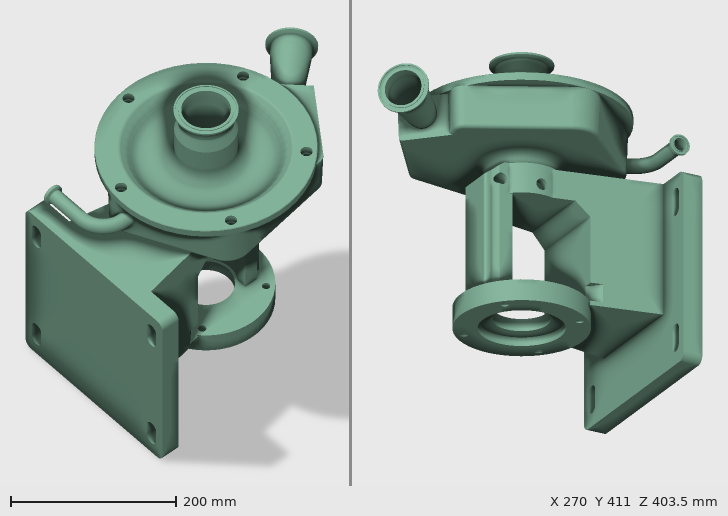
import cadquery as cq
import math


PLATE_SIDE = 250.5
PLATE_THICK = 26.0
PLATE_BACK_Y = -180.5
PLATE_CORNER_R = 10.0
SLOT_LENGTH = 36.0
SLOT_WIDTH = 16.5
SLOT_X = 105.2
SLOT_EDGE_DIST = 35.5

WEB_TOP_Z = PLATE_SIDE
WEB_BOTTOM_Z = 77.5
WEB_INNER_Y = -63.5
WEB_CHAMFER = 19.0
WEB_HALF_WIDTH = 75.0
WEB_TAPER = 10.7
NOTCH_HEIGHT = 24.0
NOTCH_CLEARANCE = 13.0

HUB_R = 51.0
HUB_TOP_Z = 252.5
HUB_BOTTOM_Z = 213.0
SIDE_HOLE_R = 7.5
HUB_HOLE_Z = 226.5
HUB_HOLE_DEPTH = 12.5
COLUMN_OUTER_R = 61.5
COLUMN_INNER_R = 38.5
COLUMN_HALF_WIDTH = 35.8
COLUMN_INNER_Y = 32.0
COLUMN_HOLE_Y = 47.3
COLUMN_HOLE_Z = 230.0
PAD_HALF_WIDTH = 26.0
PAD_OUTER_Y = 65.0
PAD_EDGE_R = 4.0
COLUMN_CUT_Y = 43.0
COLUMN_CUT_DROP = 15.2
DISC_R = 84.0
DISC_TOP_Z = 83.5
DISC_THICK = 27.5
DISC_BORE_R = 35.0
DISC_REGISTER_R = 53.5
DISC_REGISTER_DEPTH = 11.5
DISC_BOLT_CIRCLE_R = 72.8
DISC_BOLT_ANGLES = (45, 135, 225, 315)
DISC_BOLT_HOLE_R = 5.0

CASING_TOP_Z = 324.7
CASING_BOTTOM_Z = 270.5
CASING_APOTHEM = 115.5
CASING_DRAFT = 2.0
CASING_CORNER_R = 35.0
CASING_SMALL_CORNER_R = 15.5
CASING_EDGE_R = 4.5
FIRST_CORNER_ANGLE = 45
CORNER_COUNT = 5
NECK_R = 47.0
NECK_FILLET_R = 9.5

COVER_DIAMETER = 270.0
COVER_THICK = 10.3
COVER_TOP_Z = CASING_TOP_Z + COVER_THICK
COVER_CHAMFER = 1.0
RECESS_TOP_R = 107.3
RECESS_FLOOR_R = 84.0
RECESS_DEPTH = 14.5
RECESS_FLOOR_Z = COVER_TOP_Z - RECESS_DEPTH
RECESS_LIP = 3.5
RECESS_WALL = 10.0
SCREW_CIRCLE_R = 121.5
SCREW_HEAD_R = 7.5
SCREW_HOLE_R = 5.5
SCREW_HOLE_DEPTH = 18.5
DRILL_POINT_ANGLE = 118

INLET_TOP_Z = 403.5
INLET_R = 38.5
INLET_FILLET_R = 15.0
INLET_SHOULDER_Z = 368.7
INLET_NECK_Z = 384.5
INLET_NECK_R = 32.5
INLET_BORE_R = 30.0
INLET_FERRULE_R = 39.5

OUTLET_ANGLE = 135
OUTLET_OFFSET = 91.3
OUTLET_FACE = 114.5
OUTLET_CORNER_OFFSET = 123.5
BLOCK_ROOT_OFFSET = 49.5
OUTLET_CONE_TOP = 179.5
OUTLET_CONE_BASE = 118.5
OUTLET_R = 25.5
OUTLET_SMALL_R = 19.0
OUTLET_NECK_R = 17.5
OUTLET_FERRULE_R = 32.0
OUTLET_WALL = 2.5
OUTLET_BORE_END = 82.2
NOZZLE_Z = 300.5

DRAIN_R = 9.5
DRAIN_BORE_R = 8.2
DRAIN_BEND_R = 35.0
DRAIN_Y = -169.8
DRAIN_TIP_X = -89.0
DRAIN_FERRULE_R = 13.0
DRAIN_START_Y = -123.5
DRAIN_RIM = 3.5
DRAIN_FERRULE_THICK = 5.5
DRAIN_GROOVE_WIDTH = 1.5

OVERALL_LENGTH = 411.0
OUTLET_RIM_Y = OVERALL_LENGTH + DRAIN_Y - DRAIN_FERRULE_R
OUTLET_TIP = OUTLET_RIM_Y / math.sin(math.radians(OUTLET_ANGLE)) - OUTLET_OFFSET - OUTLET_FERRULE_R

FERRULE_RIM = 2.5
FERRULE_THICK = 5.5
GROOVE_WIDTH = 3.5
GROOVE_DEPTH = 1.2
GROOVE_INSET = 2.0


def polar(radius, degrees):
    """Point at a radius and angle in the XY plane."""
    angle = math.radians(degrees)
    return (radius * math.cos(angle), radius * math.sin(angle))


def cylinder(radius, bottom, top):
    return cq.Workplane("XY").workplane(offset=bottom).circle(radius).extrude(top - bottom)


def revolve_profile(points):
    """Revolve a closed (radius, height) outline about Z."""
    return cq.Workplane("XZ").polyline(points).close().revolve(360, (0, 0, 0), (0, 1, 0))


def rounded_outline(corners):
    """Closed XY outline from (point, radius) corners; a zero radius stays sharp."""
    stops = []
    for i, (corner, radius) in enumerate(corners):
        here = cq.Vector(*corner)
        if radius == 0:
            stops.append((here, here, here))
            continue
        to_last = (cq.Vector(*corners[i - 1][0]) - here).normalized()
        to_next = (cq.Vector(*corners[(i + 1) % len(corners)][0]) - here).normalized()
        half_angle = to_last.getAngle(to_next) / 2
        tangent = radius / math.tan(half_angle)
        middle = radius / math.sin(half_angle) - radius
        bisector = (to_last + to_next).normalized()
        stops.append((here + to_last * tangent, here + bisector * middle, here + to_next * tangent))

    outline = cq.Workplane("XY").moveTo(*stops[0][2].toTuple()[:2])
    for start, mid, end in stops[1:] + stops[:1]:
        outline = outline.lineTo(start.x, start.y)
        if start != end:
            outline = outline.threePointArc((mid.x, mid.y), (end.x, end.y))
    return outline.close()


def ferrule_groove(rim_radius, tip, width=GROOVE_WIDTH):
    """Gasket groove ring below the end face of a ferrule on the Z axis."""
    outer = rim_radius - GROOVE_INSET
    ring = cylinder(outer, tip - GROOVE_DEPTH, tip)
    return ring.cut(cylinder(outer - width, tip - GROOVE_DEPTH, tip))


def to_outlet(shape):
    """Turn a shape built along +Z onto the outlet axis."""
    offset_x, offset_y = polar(OUTLET_OFFSET, OUTLET_ANGLE - 90)
    shape = shape.rotate((0, 0, 0), (0, 1, 0), 90).rotate((0, 0, 0), (0, 0, 1), OUTLET_ANGLE)
    return shape.translate((offset_x, offset_y, NOZZLE_Z))


def mounting_plate():
    plate = (
        cq.Workplane("XY")
        .box(PLATE_SIDE, PLATE_THICK, PLATE_SIDE, centered=(True, False, False))
        .translate((0, PLATE_BACK_Y, 0))
        .edges("|Y")
        .fillet(PLATE_CORNER_R)
    )
    slot_height = PLATE_SIDE / 2 - SLOT_EDGE_DIST
    slots = (
        cq.Workplane("XZ", origin=(0, PLATE_BACK_Y, PLATE_SIDE / 2))
        .rect(2 * SLOT_X, 2 * slot_height, forConstruction=True)
        .vertices()
        .slot2D(SLOT_LENGTH, SLOT_WIDTH, 90)
        .extrude(-PLATE_THICK)
    )
    return plate.cut(slots)


def bracket_web():
    plate_y = PLATE_BACK_Y + PLATE_THICK
    side = (
        cq.Workplane("YZ")
        .moveTo(plate_y, WEB_TOP_Z)
        .lineTo(0, WEB_TOP_Z)
        .lineTo(0, HUB_BOTTOM_Z)
        .lineTo(WEB_INNER_Y + WEB_CHAMFER, HUB_BOTTOM_Z)
        .lineTo(WEB_INNER_Y, HUB_BOTTOM_Z - WEB_CHAMFER)
        .lineTo(WEB_INNER_Y, WEB_BOTTOM_Z)
        .lineTo(plate_y, WEB_BOTTOM_Z)
        .close()
        .extrude(WEB_HALF_WIDTH, both=True)
    )
    narrow_half = WEB_HALF_WIDTH + plate_y * math.tan(math.radians(WEB_TAPER))
    plan = (
        cq.Workplane("XY")
        .polyline([
            (-WEB_HALF_WIDTH, plate_y),
            (WEB_HALF_WIDTH, plate_y),
            (narrow_half, 0),
            (-narrow_half, 0),
        ])
        .close()
        .extrude(WEB_TOP_Z)
    )
    web = side.intersect(plan)
    for angle in DISC_BOLT_ANGLES[2:]:
        notch = (
            cq.Workplane("XY", origin=(0, 0, NOTCH_HEIGHT / 2))
            .box(2 * DISC_BOLT_CIRCLE_R, 2 * NOTCH_CLEARANCE, NOTCH_HEIGHT)
            .rotate((0, 0, 0), (0, 0, 1), angle)
            .translate((*polar(DISC_BOLT_CIRCLE_R, angle), DISC_TOP_Z))
        )
        web = web.cut(notch)
    return web


def column():
    """Upright with a concave inner face and a filleted outer pad."""
    height = HUB_TOP_Z - DISC_TOP_Z
    base = cq.Workplane("XY").workplane(offset=DISC_TOP_Z)
    body_depth = COLUMN_OUTER_R - COLUMN_INNER_Y
    window = (
        base.center(0, COLUMN_INNER_Y + body_depth / 2)
        .rect(2 * COLUMN_HALF_WIDTH, body_depth)
        .extrude(height)
    )
    body = base.circle(COLUMN_OUTER_R).extrude(height).intersect(window)
    pad_depth = PAD_OUTER_Y - COLUMN_INNER_Y
    pad = (
        base.center(0, COLUMN_INNER_Y + pad_depth / 2)
        .rect(2 * PAD_HALF_WIDTH, pad_depth)
        .extrude(height)
        .edges("|Z and >Y")
        .fillet(PAD_EDGE_R)
    )
    return body.union(pad).cut(cylinder(COLUMN_INNER_R, DISC_TOP_Z, HUB_BOTTOM_Z))


def column_slope():
    """Wedge removed from the outer top edge of the column and hub."""
    return (
        cq.Workplane("YZ")
        .polyline([
            (COLUMN_CUT_Y, HUB_TOP_Z),
            (PAD_OUTER_Y, HUB_TOP_Z),
            (PAD_OUTER_Y, HUB_TOP_Z - COLUMN_CUT_DROP),
        ])
        .close()
        .extrude(COLUMN_HALF_WIDTH, both=True)
    )


def lower_disc():
    bottom = DISC_TOP_Z - DISC_THICK
    disc = cylinder(DISC_R, bottom, DISC_TOP_Z).cut(cylinder(DISC_BORE_R, bottom, DISC_TOP_Z))
    register = cylinder(DISC_REGISTER_R, bottom, bottom + DISC_REGISTER_DEPTH)
    disc = disc.cut(register)
    for angle in DISC_BOLT_ANGLES:
        hole = cylinder(DISC_BOLT_HOLE_R, bottom, DISC_TOP_Z)
        disc = disc.cut(hole.translate(polar(DISC_BOLT_CIRCLE_R, angle) + (0,)))
    return disc


def foot_bracket():
    frame = cylinder(HUB_R, HUB_BOTTOM_Z, HUB_TOP_Z).union(column()).cut(column_slope())
    frame = frame.union(bracket_web()).union(mounting_plate()).union(lower_disc())
    column_hole = (
        cq.Workplane("YZ")
        .center(COLUMN_HOLE_Y, COLUMN_HOLE_Z)
        .circle(SIDE_HOLE_R)
        .extrude(HUB_R, both=True)
    )
    hub_hole = (
        cq.Workplane("YZ", origin=(-HUB_R, 0, HUB_HOLE_Z))
        .circle(SIDE_HOLE_R)
        .extrude(HUB_HOLE_DEPTH)
    )
    return frame.cut(column_hole).cut(hub_hole)


def drafted_prism(corners):
    """Rounded outline drafted inwards from the cover down to the casing bottom."""
    height = CASING_TOP_Z - CASING_BOTTOM_Z
    prism = rounded_outline(corners).extrude(-height, taper=CASING_DRAFT)
    return prism.translate((0, 0, CASING_TOP_Z))


def casing():
    """Rounded pentagon with a wedge-shaped outlet block along one corner."""
    step = 360 / CORNER_COUNT
    vertex_r = CASING_APOTHEM / math.cos(math.pi / CORNER_COUNT)
    pentagon = [polar(vertex_r, FIRST_CORNER_ANGLE + step * i) for i in range(CORNER_COUNT)]
    radii = [CASING_SMALL_CORNER_R] * 2 + [CASING_CORNER_R] * (CORNER_COUNT - 2)
    body = drafted_prism(list(zip(pentagon, radii))).faces("<Z").edges().fillet(CASING_EDGE_R)

    ahead = cq.Vector(*polar(1, OUTLET_ANGLE))
    aside = cq.Vector(*polar(1, OUTLET_ANGLE - 90))
    block_tip = ahead * OUTLET_FACE + aside * OUTLET_CORNER_OFFSET
    block_root = ahead * OUTLET_FACE + aside * BLOCK_ROOT_OFFSET
    side_middle = (cq.Vector(*pentagon[0]) + cq.Vector(*pentagon[-1])) / 2
    block = drafted_prism([
        (pentagon[0], CASING_SMALL_CORNER_R),
        ((block_tip.x, block_tip.y), 0),
        ((block_root.x, block_root.y), 0),
        ((side_middle.x, side_middle.y), 0),
    ])
    outlet_side = OUTLET_FACE - CASING_EDGE_R
    rounded = block.faces("<Z").edges().filter(lambda edge: edge.Center().dot(ahead) < outlet_side)
    return body.union(rounded.fillet(CASING_EDGE_R))


def neck():
    flare_r = NECK_R + NECK_FILLET_R
    flare_z = CASING_BOTTOM_Z - NECK_FILLET_R
    diagonal = NECK_FILLET_R * math.sqrt(0.5)
    return (
        cq.Workplane("XZ")
        .moveTo(0, HUB_TOP_Z)
        .lineTo(NECK_R, HUB_TOP_Z)
        .lineTo(NECK_R, flare_z)
        .threePointArc((flare_r - diagonal, flare_z + diagonal), (flare_r, CASING_BOTTOM_Z))
        .lineTo(0, CASING_BOTTOM_Z)
        .close()
        .revolve(360, (0, 0, 0), (0, 1, 0))
    )


def cover():
    return cylinder(COVER_DIAMETER / 2, CASING_TOP_Z, COVER_TOP_Z).faces(">Z").edges().chamfer(COVER_CHAMFER)


def recess():
    """Dished recess: rounded lip, conical wall, rounded foot and flat floor."""
    foot = RECESS_TOP_R - RECESS_LIP - RECESS_WALL - RECESS_FLOOR_R
    low, high = 0.1, 1.5
    for _ in range(50):
        slope = (low + high) / 2
        fall = (RECESS_LIP + foot) * math.tan(slope / 2) + RECESS_WALL * math.tan(slope)
        low, high = (slope, high) if fall < RECESS_DEPTH else (low, slope)
    lip_fall = RECESS_LIP * math.tan(slope / 2)
    foot_rise = foot * math.tan(slope / 2)
    wall_top = (RECESS_TOP_R - RECESS_LIP, COVER_TOP_Z - lip_fall)
    wall_foot = (RECESS_FLOOR_R + foot, RECESS_FLOOR_Z + foot_rise)
    lip_r = RECESS_LIP / math.sin(slope)
    foot_r = foot / math.sin(slope)
    sine, drop = math.sin(slope / 2), 1 - math.cos(slope / 2)
    return (
        cq.Workplane("XZ")
        .moveTo(0, COVER_TOP_Z)
        .lineTo(RECESS_TOP_R, COVER_TOP_Z)
        .threePointArc((RECESS_TOP_R - lip_r * sine, COVER_TOP_Z - lip_r * drop), wall_top)
        .lineTo(*wall_foot)
        .threePointArc((RECESS_FLOOR_R + foot_r * sine, RECESS_FLOOR_Z + foot_r * drop),
                       (RECESS_FLOOR_R, RECESS_FLOOR_Z))
        .lineTo(0, RECESS_FLOOR_Z)
        .close()
        .revolve(360, (0, 0, 0), (0, 1, 0))
    )


def screw_holes():
    tip = SCREW_HOLE_R / math.tan(math.radians(DRILL_POINT_ANGLE / 2))
    hole = revolve_profile([
        (0, 0),
        (SCREW_HEAD_R, 0),
        (SCREW_HEAD_R, -COVER_THICK),
        (SCREW_HOLE_R, -COVER_THICK),
        (SCREW_HOLE_R, -SCREW_HOLE_DEPTH),
        (0, -SCREW_HOLE_DEPTH - tip),
    ])
    holes = cq.Workplane("XY")
    for i in range(CORNER_COUNT):
        place = polar(SCREW_CIRCLE_R, FIRST_CORNER_ANGLE + 360 / CORNER_COUNT * i)
        holes = holes.add(hole.translate((*place, COVER_TOP_Z)))
    return holes.combine()


def inlet():
    diagonal = INLET_FILLET_R * math.sqrt(0.5)
    flare_r = INLET_R + INLET_FILLET_R
    flare_z = RECESS_FLOOR_Z + INLET_FILLET_R
    body = (
        cq.Workplane("XZ")
        .moveTo(0, RECESS_FLOOR_Z)
        .lineTo(flare_r, RECESS_FLOOR_Z)
        .threePointArc((flare_r - diagonal, flare_z - diagonal), (INLET_R, flare_z))
        .lineTo(INLET_R, INLET_SHOULDER_Z)
        .lineTo(INLET_NECK_R, INLET_NECK_Z)
        .lineTo(INLET_NECK_R, INLET_TOP_Z - FERRULE_THICK)
        .lineTo(INLET_FERRULE_R, INLET_TOP_Z - FERRULE_RIM)
        .lineTo(INLET_FERRULE_R, INLET_TOP_Z)
        .lineTo(0, INLET_TOP_Z)
        .close()
        .revolve(360, (0, 0, 0), (0, 1, 0))
    )
    bore = cylinder(INLET_BORE_R, RECESS_FLOOR_Z, INLET_TOP_Z)
    return body.cut(bore).cut(ferrule_groove(INLET_FERRULE_R, INLET_TOP_Z))


def outlet():
    """Outlet pipe body and its bore, both along the outlet axis."""
    body = revolve_profile([
        (0, OUTLET_BORE_END),
        (OUTLET_NECK_R, OUTLET_BORE_END),
        (OUTLET_NECK_R, OUTLET_CONE_BASE),
        (OUTLET_SMALL_R, OUTLET_CONE_BASE),
        (OUTLET_R, OUTLET_CONE_TOP),
        (OUTLET_R, OUTLET_TIP - FERRULE_THICK),
        (OUTLET_FERRULE_R, OUTLET_TIP - FERRULE_RIM),
        (OUTLET_FERRULE_R, OUTLET_TIP),
        (0, OUTLET_TIP),
    ])
    body = body.cut(ferrule_groove(OUTLET_FERRULE_R, OUTLET_TIP))
    bore = revolve_profile([
        (0, OUTLET_BORE_END),
        (OUTLET_SMALL_R - OUTLET_WALL, OUTLET_BORE_END),
        (OUTLET_SMALL_R - OUTLET_WALL, OUTLET_CONE_BASE),
        (OUTLET_R - OUTLET_WALL, OUTLET_CONE_TOP),
        (OUTLET_R - OUTLET_WALL, OUTLET_TIP),
        (0, OUTLET_TIP),
    ])
    return to_outlet(body), to_outlet(bore)


def drain_run(radius):
    """Round bar that leaves the casing towards -Y and bends to -X."""
    bend_y = DRAIN_Y + DRAIN_BEND_R
    diagonal = DRAIN_BEND_R * math.sqrt(0.5)
    path = (
        cq.Workplane("XY", origin=(0, 0, NOZZLE_Z))
        .moveTo(0, DRAIN_START_Y)
        .lineTo(0, bend_y)
        .threePointArc((diagonal - DRAIN_BEND_R, bend_y - diagonal), (-DRAIN_BEND_R, DRAIN_Y))
        .lineTo(DRAIN_TIP_X, DRAIN_Y)
    )
    return cq.Workplane("XZ", origin=(0, DRAIN_START_Y, NOZZLE_Z)).circle(radius).sweep(path)


def drain_ferrule():
    profile = revolve_profile([
        (0, 0),
        (DRAIN_FERRULE_R, 0),
        (DRAIN_FERRULE_R, DRAIN_RIM),
        (DRAIN_R, DRAIN_FERRULE_THICK),
        (0, DRAIN_FERRULE_THICK),
    ])
    profile = profile.cut(ferrule_groove(DRAIN_FERRULE_R, GROOVE_DEPTH, DRAIN_GROOVE_WIDTH))
    return profile.rotate((0, 0, 0), (0, 1, 0), 90).translate((DRAIN_TIP_X, DRAIN_Y, NOZZLE_Z))


outlet_body, outlet_bore = outlet()
result = foot_bracket().union(neck()).union(casing())
result = result.union(cover()).cut(recess()).cut(screw_holes())
result = result.union(inlet())
result = result.union(outlet_body).cut(outlet_bore)
result = result.union(drain_run(DRAIN_R)).union(drain_ferrule())
result = result.cut(drain_run(DRAIN_BORE_R))